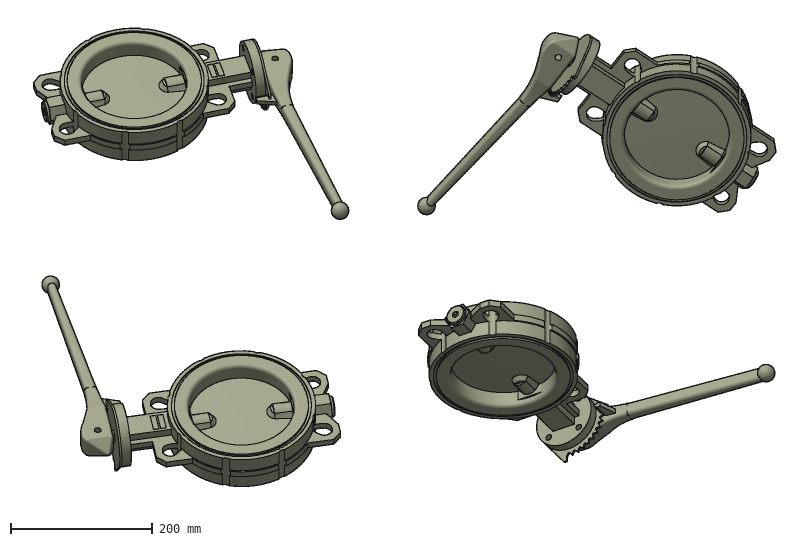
import cadquery as cq
import math

RING_DIA = 210.0
RING_HALF_WIDTH = 28.0
RIB_DIA = 214.0
RIB_THICKNESS = 10.0
SEAT_DIA = 190.0
SEAT_HALF_WIDTH = 29.0
GROOVE_DIA = 198.0
GROOVE_DEPTH = 2.0
BORE_DIA = 149.0
BORE_ROUND = 5.5

LARGE_BOLT_CIRCLE = 240.0
LARGE_BOLT_DIA = 22.5
SMALL_BOLT_CIRCLE = 225.0
SMALL_BOLT_DIA = 18.0
BOLT_COUNT = 8
BOLT_PITCH = 360.0 / BOLT_COUNT
FIRST_BOLT_ANGLE = BOLT_PITCH / 2

LUG_HALF_WIDTH = 67.6
LUG_REACH = 132.41
LUG_CHAMFER = 12.0
LUG_INNER_FLAT_END = 40.5
LUG_SLOPE_END_X = 14.0
LUG_SLOPE_END_Y = 117.5

DISC_EDGE_HALF = 4.0
DISC_CENTRE_HALF = 5.5
PAD_FACE_Y = 72.0
PAD_HALF_HEIGHT = 18.7
BOSS_FOOT_OUTER_HALF = 20.0
BOSS_FOOT_INNER_HALF = 15.5
BOSS_FOOT_TIP_Y = 33.0
BOSS_STRAIGHT_END_Y = 46.0
BOSS_TOP_HALF = 9.4
BOSS_TOP_TIP_Y = 42.0
BOSS_CAP_RADIUS = 15.0

NECK_WIDTH = 35.0
NECK_HEIGHT = 34.0
NECK_RIB_WIDTH = 50.0
FLANGE_DIA = 90.0
FLANGE_BOTTOM_Y = 166.5
FLANGE_TOP_Y = 180.3
FLANGE_BOLT_CIRCLE = 70.0
FLANGE_BOLT_DIA = 9.0
FLANGE_BOLT_COUNT = 4
FLANGE_FIRST_BOLT_ANGLE = 45.0
LABEL_LENGTH = 26.0
LABEL_WIDTH = 8.0
LABEL_PITCH = 10.3
LABEL_FIRST_Y = 114.6
LABEL_COUNT = 2
LABEL_DEPTH = 0.5

FOOT_FLATS = 34.0
FOOT_END_Y = -127.4
PLUG_DIA = 30.0
PLUG_TIP_DIA = 27.0
PLUG_SOCKET_FLATS = 9.0
PLUG_SOCKET_DEPTH = 6.0

STEM_FLATS = 17.0
STEM_SIDES = 8
PLATE_THICKNESS = 3.0
PLATE_TOP_Y = FLANGE_TOP_Y + PLATE_THICKNESS
TOOTH_ROOT_RADIUS = 51.5
TOOTH_TIP_RADIUS = 57.0
TOOTH_PITCH = 10.0
TOOTH_COUNT = 9
NOTCH_FLOOR_HALF = 1.0
STOP_FACE = 4.0
STOP_OUTER = 8.5
STOP_REACH = 64.0

LEVER_HALF_WIDTH = 17.0
LEVER_BOTTOM_Y = 186.8
LEVER_CROWN_Y = 230.6
LEVER_PIN_DIA = 9.0
LEVER_PIN_Y = 206.8
LEVER_ROUND = 4.0
NOSE_X = -37.0
NOSE_Y = 196.0
NOSE_WIDE_X = -15.0
ARM_HALF_WIDTH = 10.5
ARM_START_X = 89.0
ARM_START_TOP_Y = 209.0
ARM_START_BOTTOM_Y = 191.7
ARM_END_X = 296.0
ARM_END_TOP_Y = 224.6
ARM_END_BOTTOM_Y = 212.6
ARM_ROUND = 5.5
HUB_END_X = 46.0
KNOB_DIA = 25.0
KNOB_X = 302.5
KNOB_Y = 218.5
PAWL_TIP_X = 51.8
PAWL_TIP_HALF = 0.6
PAWL_FULL_X = 56.0
PAWL_HALF_WIDTH = 3.4
PAWL_BACK_X = 72.0
PAWL_ROOT_Y = LEVER_BOTTOM_Y + 4.0
PAWL_END_Y = 163.3
PAWL_END_BACK_X = 61.8


def along_y(bottom_y):
    """Workplane at the given height whose extrusions go up +Y, with local x along X."""
    return cq.Workplane("ZX", origin=(0, bottom_y, 0)).transformed(rotate=(0, 0, 90))


def polar(radius, angle):
    return (radius * math.cos(math.radians(angle)), radius * math.sin(math.radians(angle)))


def slab(workplane, thickness):
    return workplane.extrude(thickness / 2, both=True)


def bolt_cutters(circle, diameter):
    holes = cq.Workplane("XY").polarArray(circle / 2, FIRST_BOLT_ANGLE, 360, BOLT_COUNT)
    return slab(holes.circle(diameter / 2), 4 * RING_HALF_WIDTH)


def lug_plate():
    """Plate behind the ring carrying the four bolt lugs, notched around the foot."""
    chamfer_x = LUG_HALF_WIDTH - LUG_CHAMFER
    chamfer_y = LUG_REACH - LUG_CHAMFER
    right_side = [
        (LUG_SLOPE_END_X, -LUG_SLOPE_END_Y),
        (LUG_INNER_FLAT_END, -LUG_REACH),
        (chamfer_x, -LUG_REACH),
        (LUG_HALF_WIDTH, -chamfer_y),
        (LUG_HALF_WIDTH, chamfer_y),
        (chamfer_x, LUG_REACH),
    ]
    left_side = [(-x, y) for x, y in reversed(right_side)]
    outline = cq.Workplane("XY").polyline(right_side + left_side).close()
    return slab(outline, RIB_THICKNESS)


def lug_slots():
    """Webs joining the two bolt holes of each lug into one slot."""
    slots = cq.Workplane("XY")
    for quadrant_angle in (1.5, 2.5, 5.5, 6.5):
        angle = quadrant_angle * BOLT_PITCH
        inner = cq.Vector(*polar(SMALL_BOLT_CIRCLE / 2, angle))
        outer = cq.Vector(*polar(LARGE_BOLT_CIRCLE / 2, angle))
        spread = math.degrees(math.acos((SMALL_BOLT_DIA - LARGE_BOLT_DIA) / 2 / (inner - outer).Length))
        inner_side = [inner + cq.Vector(*polar(SMALL_BOLT_DIA / 2, angle + s * spread)) for s in (1, -1)]
        outer_side = [outer + cq.Vector(*polar(LARGE_BOLT_DIA / 2, angle + s * spread)) for s in (-1, 1)]
        web = cq.Workplane("XY").polyline([p.toTuple()[:2] for p in inner_side + outer_side]).close()
        slots = slots.add(slab(web, 2 * RIB_THICKNESS))
    return slots


def disc_boss():
    """Rounded wedge over the shaft, on the +Y and +Z quarter of the disc."""
    cap_edge_z = math.sqrt(BOSS_CAP_RADIUS**2 - BOSS_TOP_HALF**2)
    root_y = PAD_FACE_Y + 1
    wedge = (
        cq.Workplane("XY")
        .moveTo(-BOSS_FOOT_OUTER_HALF, root_y)
        .lineTo(-BOSS_FOOT_INNER_HALF, BOSS_STRAIGHT_END_Y)
        .threePointArc((0, BOSS_FOOT_TIP_Y), (BOSS_FOOT_INNER_HALF, BOSS_STRAIGHT_END_Y))
        .lineTo(BOSS_FOOT_OUTER_HALF, root_y)
        .close()
        .workplane(offset=cap_edge_z)
        .moveTo(-BOSS_TOP_HALF, root_y)
        .lineTo(-BOSS_TOP_HALF, BOSS_STRAIGHT_END_Y)
        .threePointArc((0, BOSS_TOP_TIP_Y), (BOSS_TOP_HALF, BOSS_STRAIGHT_END_Y))
        .lineTo(BOSS_TOP_HALF, root_y)
        .close()
        .loft(ruled=True)
    )
    cap = (
        cq.Workplane("XZ", origin=(0, root_y, 0))
        .moveTo(-BOSS_TOP_HALF, 0)
        .lineTo(-BOSS_TOP_HALF, cap_edge_z)
        .threePointArc((0, BOSS_CAP_RADIUS), (BOSS_TOP_HALF, cap_edge_z))
        .lineTo(BOSS_TOP_HALF, 0)
        .close()
        .extrude(root_y - BOSS_STRAIGHT_END_Y)
    )
    return wedge.union(cap)


def disc():
    """Shallow double cone with shaft bosses, seated on flat pads in the bore."""
    bore_radius = BORE_DIA / 2
    plate = (
        cq.Workplane("XZ")
        .moveTo(0, -DISC_CENTRE_HALF)
        .lineTo(bore_radius, -DISC_EDGE_HALF)
        .lineTo(bore_radius, DISC_EDGE_HALF)
        .lineTo(0, DISC_CENTRE_HALF)
        .close()
        .revolve(360, (0, 0, 0), (0, 1, 0))
    )
    bore_core = slab(cq.Workplane("XY").circle(bore_radius + 1), 2 * PAD_HALF_HEIGHT)
    between_pads = slab(cq.Workplane("XY").rect(BORE_DIA * 2, 2 * PAD_FACE_Y), 3 * PAD_HALF_HEIGHT)
    shape = plate.union(bore_core.cut(between_pads))
    boss = disc_boss()
    for top in (boss, boss.mirror("XZ")):
        shape = shape.union(top).union(top.mirror("XY"))
    return shape


def ring():
    shape = slab(cq.Workplane("XY").circle(RING_DIA / 2), 2 * RING_HALF_WIDTH)
    shape = shape.union(slab(cq.Workplane("XY").circle(RIB_DIA / 2), RIB_THICKNESS))
    return shape.union(lug_plate())


def seat_and_bore(shape):
    """Grooves around the raised seat faces, and the bore with its rounded mouths."""
    groove_floor = RING_HALF_WIDTH - GROOVE_DEPTH
    groove = cq.Workplane("XY", origin=(0, 0, groove_floor)).circle(GROOVE_DIA / 2).extrude(2 * GROOVE_DEPTH)
    shape = shape.cut(groove).cut(groove.mirror("XY"))
    shape = shape.union(slab(cq.Workplane("XY").circle(SEAT_DIA / 2), 2 * SEAT_HALF_WIDTH))
    mouth_radius = BORE_DIA / 2 + BORE_ROUND
    round_start = SEAT_HALF_WIDTH - BORE_ROUND
    inset = BORE_ROUND * (1 - math.sqrt(0.5))
    bore = (
        cq.Workplane("XZ")
        .moveTo(0, -SEAT_HALF_WIDTH)
        .lineTo(mouth_radius, -SEAT_HALF_WIDTH)
        .threePointArc((BORE_DIA / 2 + inset, -SEAT_HALF_WIDTH + inset), (BORE_DIA / 2, -round_start))
        .lineTo(BORE_DIA / 2, round_start)
        .threePointArc((BORE_DIA / 2 + inset, SEAT_HALF_WIDTH - inset), (mouth_radius, SEAT_HALF_WIDTH))
        .lineTo(0, SEAT_HALF_WIDTH)
        .close()
        .revolve(360, (0, 0, 0), (0, 1, 0))
    )
    return shape.cut(bore)


def neck_and_flange():
    start_y = SEAT_DIA / 2
    length = FLANGE_BOTTOM_Y - start_y
    shape = along_y(start_y).rect(NECK_WIDTH, NECK_HEIGHT).extrude(length)
    shape = shape.union(along_y(start_y).rect(NECK_RIB_WIDTH, RIB_THICKNESS).extrude(length))
    for index in range(LABEL_COUNT):
        label_y = LABEL_FIRST_Y + index * LABEL_PITCH
        label = cq.Workplane("XY", origin=(0, label_y, NECK_HEIGHT / 2 - LABEL_DEPTH))
        shape = shape.cut(label.rect(LABEL_LENGTH, LABEL_WIDTH).extrude(2 * LABEL_DEPTH))
    flange = (
        along_y(FLANGE_BOTTOM_Y)
        .circle(FLANGE_DIA / 2)
        .polarArray(FLANGE_BOLT_CIRCLE / 2, FLANGE_FIRST_BOLT_ANGLE, 360, FLANGE_BOLT_COUNT)
        .circle(FLANGE_BOLT_DIA / 2)
        .extrude(FLANGE_TOP_Y - FLANGE_BOTTOM_Y)
    )
    return shape.union(flange)


def hex_prism(top_y, flats, length, turn):
    plane = cq.Workplane("XZ", origin=(0, top_y, 0)).transformed(rotate=(0, 0, turn))
    return plane.polygon(6, flats, circumscribed=True).extrude(length)


def foot():
    """Hexagonal boss with corners along X, ending in a round plug with a hexagon socket."""
    start_y = -SEAT_DIA / 2
    plug_length = LUG_REACH + FOOT_END_Y
    shape = hex_prism(start_y, FOOT_FLATS, start_y - FOOT_END_Y, 30)
    plug = cq.Workplane("XZ", origin=(0, FOOT_END_Y, 0)).circle(PLUG_DIA / 2).extrude(plug_length)
    plug = plug.faces("<Y").chamfer((PLUG_DIA - PLUG_TIP_DIA) / 2)
    socket = hex_prism(PLUG_SOCKET_DEPTH - LUG_REACH, PLUG_SOCKET_FLATS, PLUG_SOCKET_DEPTH, 0)
    return shape.union(plug).cut(socket)


def make_valve():
    shape = ring().cut(bolt_cutters(SMALL_BOLT_CIRCLE, SMALL_BOLT_DIA))
    shape = shape.cut(bolt_cutters(LARGE_BOLT_CIRCLE, LARGE_BOLT_DIA))
    for slot in lug_slots().vals():
        shape = shape.cut(cq.Workplane(slot))
    shape = shape.union(neck_and_flange()).union(foot())
    return seat_and_bore(shape).union(disc())


def index_plate():
    """Flange cover with a toothed quadrant between two stops, symmetric about the X = -Z diagonal."""
    disc_radius = FLANGE_DIA / 2
    corner_distance = math.hypot(STOP_REACH, STOP_OUTER)
    corner_angle = math.degrees(math.atan2(STOP_OUTER, STOP_REACH))
    tangent_angle = corner_angle + math.degrees(math.acos(disc_radius / corner_distance))

    def reflect(point):
        return (-point[1], -point[0])

    stop = [
        polar(disc_radius, tangent_angle),
        (STOP_REACH, STOP_OUTER),
        (STOP_REACH, STOP_FACE),
        (TOOTH_TIP_RADIUS, STOP_FACE),
    ]
    floor_angle = math.degrees(NOTCH_FLOOR_HALF / TOOTH_ROOT_RADIUS)
    teeth = [polar(TOOTH_ROOT_RADIUS, floor_angle)]
    for index in range(TOOTH_COUNT):
        notch = -index * TOOTH_PITCH
        teeth.append(polar(TOOTH_ROOT_RADIUS, notch - floor_angle))
        teeth.append(polar(TOOTH_TIP_RADIUS, notch - TOOTH_PITCH / 2))
        teeth.append(polar(TOOTH_ROOT_RADIUS, notch - TOOTH_PITCH + floor_angle))
    teeth.append(reflect(teeth[0]))
    other_stop = [reflect(point) for point in reversed(stop)]
    plane = cq.Workplane("XZ", origin=(0, PLATE_TOP_Y, 0))
    quadrant = plane.polyline([(0, 0)] + stop + teeth + other_stop).close().extrude(PLATE_THICKNESS)
    return quadrant.union(plane.circle(disc_radius).extrude(PLATE_THICKNESS))


def stem():
    """Octagonal stem between the index plate and the lever hub."""
    top = cq.Workplane("XZ", origin=(0, LEVER_BOTTOM_Y, 0))
    return top.polygon(STEM_SIDES, STEM_FLATS, circumscribed=True).extrude(LEVER_BOTTOM_Y - PLATE_TOP_Y)


def lever_hub():
    """Pointed hub that narrows into the arm: side outline crossed with plan outline."""
    side = (
        cq.Workplane("XY")
        .moveTo(NOSE_X, NOSE_Y)
        .lineTo(-18.5, 223.5)
        .threePointArc((-12.0, 228.8), (-4.5, LEVER_CROWN_Y))
        .lineTo(4.5, LEVER_CROWN_Y)
        .threePointArc((13.8, 227.6), (22.3, 223.4))
        .lineTo(HUB_END_X, 214.0)
        .threePointArc((67.0, 210.0), (ARM_START_X, ARM_START_TOP_Y))
        .lineTo(ARM_START_X, ARM_START_BOTTOM_Y)
        .lineTo(HUB_END_X, LEVER_BOTTOM_Y)
        .lineTo(-14.0, LEVER_BOTTOM_Y)
        .close()
        .extrude(LEVER_HALF_WIDTH, both=True)
    )
    plan = (
        along_y(LEVER_BOTTOM_Y - 1)
        .moveTo(NOSE_X, 0)
        .lineTo(NOSE_WIDE_X, LEVER_HALF_WIDTH)
        .lineTo(HUB_END_X, LEVER_HALF_WIDTH)
        .threePointArc((66.0, 12.2), (ARM_START_X, ARM_HALF_WIDTH))
        .lineTo(ARM_START_X, -ARM_HALF_WIDTH)
        .threePointArc((66.0, -12.2), (HUB_END_X, -LEVER_HALF_WIDTH))
        .lineTo(NOSE_WIDE_X, -LEVER_HALF_WIDTH)
        .close()
        .extrude(LEVER_CROWN_Y - LEVER_BOTTOM_Y + 2)
    )
    return side.intersect(plan)


def lever_arm():
    outline = [
        (ARM_START_X, ARM_START_BOTTOM_Y),
        (ARM_END_X, ARM_END_BOTTOM_Y),
        (ARM_END_X, ARM_END_TOP_Y),
        (ARM_START_X, ARM_START_TOP_Y),
    ]
    arm = slab(cq.Workplane("XY").polyline(outline).close(), 2 * ARM_HALF_WIDTH)
    return arm.edges("not(|Z or |Y)").fillet(ARM_ROUND)


def pawl():
    """Wedge-nosed finger that hangs from the lever into a notch of the index plate."""
    plan = [
        (PAWL_TIP_X, PAWL_TIP_HALF),
        (PAWL_FULL_X, PAWL_HALF_WIDTH),
        (PAWL_BACK_X, PAWL_HALF_WIDTH),
        (PAWL_BACK_X, -PAWL_HALF_WIDTH),
        (PAWL_FULL_X, -PAWL_HALF_WIDTH),
        (PAWL_TIP_X, -PAWL_TIP_HALF),
    ]
    finger = along_y(PAWL_END_Y).polyline(plan).close().extrude(PAWL_ROOT_Y - PAWL_END_Y)
    side = [
        (PAWL_TIP_X, PAWL_END_Y),
        (PAWL_END_BACK_X, PAWL_END_Y),
        (PAWL_BACK_X, PAWL_ROOT_Y),
        (PAWL_TIP_X, PAWL_ROOT_Y),
    ]
    return finger.intersect(slab(cq.Workplane("XY").polyline(side).close(), 4 * PAWL_HALF_WIDTH))


def make_lever():
    hub = lever_hub()
    hub = hub.edges("not(>X)").fillet(LEVER_ROUND)
    shape = hub.union(lever_arm()).union(pawl())
    shape = shape.union(cq.Workplane("XY", origin=(KNOB_X, KNOB_Y, 0)).sphere(KNOB_DIA / 2))
    pin = cq.Workplane("XY", origin=(0, LEVER_PIN_Y, 0)).circle(LEVER_PIN_DIA / 2)
    shape = shape.cut(slab(pin, 4 * LEVER_HALF_WIDTH))
    return shape.union(stem()).union(index_plate())


valve = make_valve()
lever = make_lever()
result = cq.Compound.makeCompound([valve.val(), lever.val()])